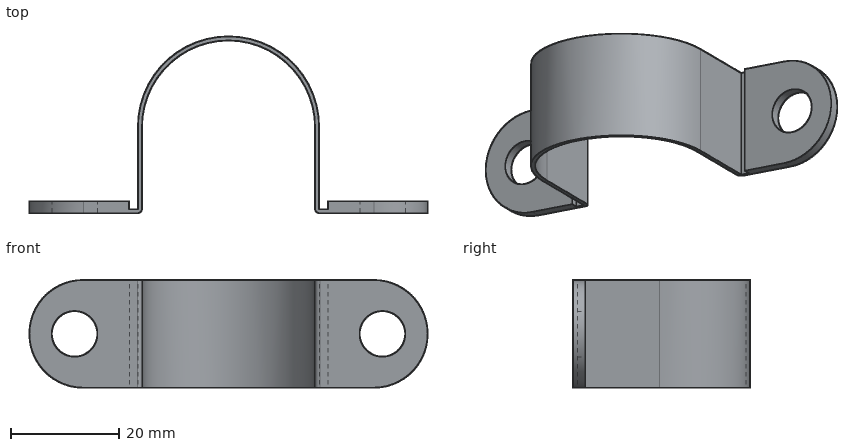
import cadquery as cq

strap_thickness = 0.8
strap_width = 20.0
inner_radius = 16.0
leg_length = 16.0
bend_radius = 0.9
overall_length = 73.8
foot_thickness = 2.3
relief_width = 1.6
hole_diameter = 8.4
hole_spacing = 57.0

half_width = strap_width / 2
outer_radius = inner_radius + strap_thickness
pad_start = outer_radius + relief_width
foot_tip = overall_length / 2
foot_end_center = foot_tip - half_width
mounting_face = -leg_length


def make_arch():
    """Half-round strap with two straight legs down to the mounting face."""
    return (
        cq.Workplane("XY")
        .workplane(offset=-half_width)
        .moveTo(-outer_radius, mounting_face)
        .lineTo(-outer_radius, 0)
        .threePointArc((0, outer_radius), (outer_radius, 0))
        .lineTo(outer_radius, mounting_face)
        .lineTo(inner_radius, mounting_face)
        .lineTo(inner_radius, 0)
        .threePointArc((0, inner_radius), (-inner_radius, 0))
        .lineTo(-inner_radius, mounting_face)
        .close()
        .extrude(strap_width)
    )


def foot_plate(start, thickness):
    """Round-ended plate from X = start to the foot tip, standing on the mounting face."""
    return (
        cq.Workplane("XZ", origin=(0, mounting_face, 0))
        .moveTo(start, -half_width)
        .lineTo(foot_end_center, -half_width)
        .threePointArc((foot_tip, 0), (foot_end_center, half_width))
        .lineTo(start, half_width)
        .close()
        .extrude(-thickness)
    )


def make_foot():
    """Right-hand foot: thin root next to the leg, thick pad, and its screw hole."""
    root = foot_plate(inner_radius, strap_thickness)
    pad = foot_plate(pad_start, foot_thickness)
    hole = (
        cq.Workplane("XZ", origin=(0, mounting_face, 0))
        .center(hole_spacing / 2, 0)
        .circle(hole_diameter / 2)
        .extrude(-foot_thickness)
    )
    return root.union(pad).cut(hole)


def round_bends(body):
    """Round the outer corner where each leg turns into its foot."""
    for side in (-1, 1):
        corner = cq.NearestToPointSelector((side * inner_radius, mounting_face, 0))
        body = body.edges("|Z").edges(corner).fillet(bend_radius)
    return body


foot = make_foot()
clamp = make_arch().union(foot).union(foot.mirror("YZ")).clean()
result = round_bends(clamp)